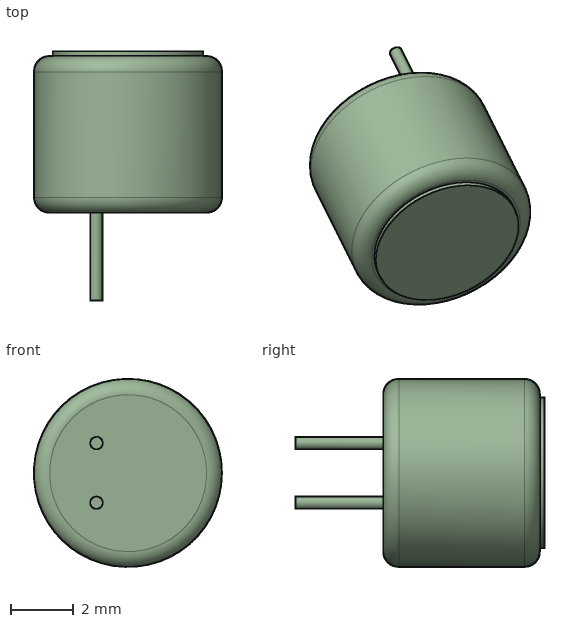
import cadquery as cq

total_length = 7.95
body_diameter = 6.0
body_length = 5.0
edge_radius = 0.5

disc_diameter = 4.81
disc_thickness = 0.15

pin_diameter = 0.4
pin_length = total_length - body_length - disc_thickness
pin_x = -1.0
pin_pitch = 1.9


def cylinder_along_y(diameter, y_start, y_end, x=0, z=0):
    """Solid cylinder parallel to Y between two Y positions."""
    return (
        cq.Workplane("XZ", origin=(x, y_start, z))
        .circle(diameter / 2)
        .extrude(y_start - y_end)
    )


body = cylinder_along_y(body_diameter, 0, body_length).edges().fillet(edge_radius)

overlap = edge_radius
disc = cylinder_along_y(disc_diameter, body_length - overlap, body_length + disc_thickness)

result = body.union(disc)
for pin_z in (-pin_pitch / 2, pin_pitch / 2):
    result = result.union(cylinder_along_y(pin_diameter, -pin_length, overlap, pin_x, pin_z))